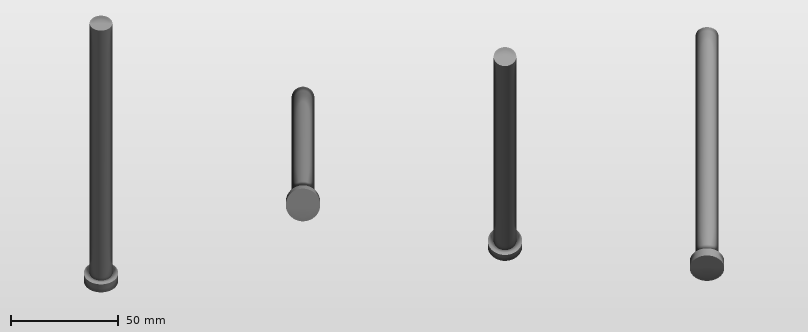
import cadquery as cq

total_length = 160.0
head_diameter = 16.0
head_height = 5.0
shaft_diameter = 10.5
shaft_length = total_length - head_height

head = cq.Workplane("XY").circle(head_diameter / 2).extrude(head_height)

result = head.faces(">Z").workplane().circle(shaft_diameter / 2).extrude(shaft_length)